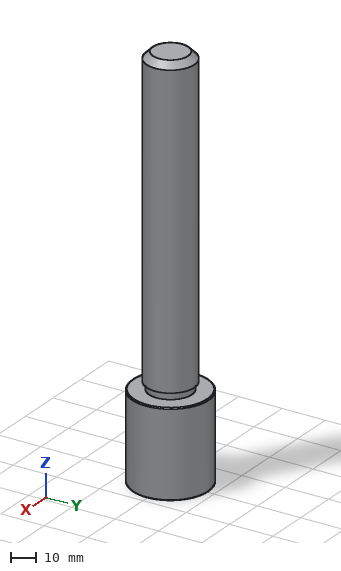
import cadquery as cq

total_length = 185.0
head_diameter = 35.0
head_height = 40.0
head_edge_chamfer = 0.5

shaft_diameter = 22.0
neck_diameter = 19.6
neck_height = 3.3
tip_chamfer = 3.0


def cylinder(diameter, bottom, top):
    """Upright cylinder on the Z axis between two heights."""
    return cq.Workplane("XY").workplane(offset=bottom).circle(diameter / 2).extrude(top - bottom)


shaft_bottom = head_height + neck_height

head = cylinder(head_diameter, 0, head_height).edges().chamfer(head_edge_chamfer)
neck = cylinder(neck_diameter, head_height, shaft_bottom)
shaft = cylinder(shaft_diameter, shaft_bottom, total_length).faces(">Z").edges().chamfer(tip_chamfer)

result = head.union(neck).union(shaft)